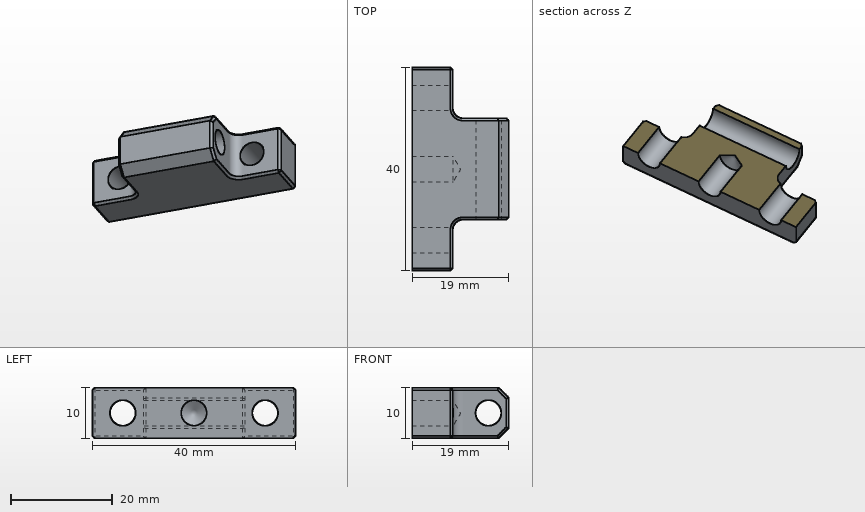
import cadquery as cq
import math

height = 10.0
bar_length = 40.0
bar_depth = 8.0
tongue_width = 20.0
total_depth = 19.0

inner_corner_radius = 2.0
tip_bevel = 2.0
edge_chamfer = 0.5

hole_diameter = 5.0
mounting_hole_offset = 14.0
cross_hole_x = 15.0
blind_hole_depth = 8.0
drill_point_angle = 118.0

selection_margin = 0.01


def t_shaped_block():
    """Bar with a central tongue, rounded where the two meet."""
    bar = cq.Workplane("XY").box(bar_depth, bar_length, height, centered=(False, True, True))
    tongue = cq.Workplane("XY").box(total_depth, tongue_width, height, centered=(False, True, True))
    inner_corners = cq.selectors.BoxSelector(
        (bar_depth - selection_margin, -tongue_width / 2 - selection_margin, -height),
        (bar_depth + selection_margin, tongue_width / 2 + selection_margin, height),
    )
    return bar.union(tongue).edges("|Z").edges(inner_corners).fillet(inner_corner_radius)


def bevel_tip(block):
    """Slope the upper and lower edges of the tongue tip."""
    return block.faces(">X").edges("|Y").chamfer(tip_bevel)


def chamfer_side_edges(block):
    """Break every edge of the side walls, leaving the back face and the tip slopes sharp."""
    back_edges = block.faces("<X").edges()
    slope_edges = block.edges("|Y").edges(
        cq.selectors.BoxSelector(
            (total_depth - tip_bevel - selection_margin, -selection_margin, -height),
            (total_depth + selection_margin, selection_margin, height),
        )
    )
    sharp = back_edges.vals() + slope_edges.vals()
    broken = [edge for edge in block.edges().vals() if not any(edge.isSame(other) for other in sharp)]
    return block.newObject(broken).chamfer(edge_chamfer)


def blind_hole():
    """Drilled hole along X with a conical bottom."""
    radius = hole_diameter / 2
    point_depth = radius / math.tan(math.radians(drill_point_angle / 2))
    return (
        cq.Workplane("XY")
        .polyline([(0, 0), (0, radius), (blind_hole_depth, radius), (blind_hole_depth + point_depth, 0)])
        .close()
        .revolve(360, (0, 0, 0), (1, 0, 0))
    )


def drill(block):
    """Two through mounting holes and a blind centre hole from the back, one hole across the tongue."""
    mounting_holes = (
        cq.Workplane("YZ")
        .pushPoints([(-mounting_hole_offset, 0), (mounting_hole_offset, 0)])
        .circle(hole_diameter / 2)
        .extrude(total_depth)
    )
    cross_hole = (
        cq.Workplane("XZ")
        .center(cross_hole_x, 0)
        .circle(hole_diameter / 2)
        .extrude(tongue_width / 2, both=True)
    )
    return block.cut(mounting_holes).cut(cross_hole).cut(blind_hole())


result = drill(chamfer_side_edges(bevel_tip(t_shaped_block())))